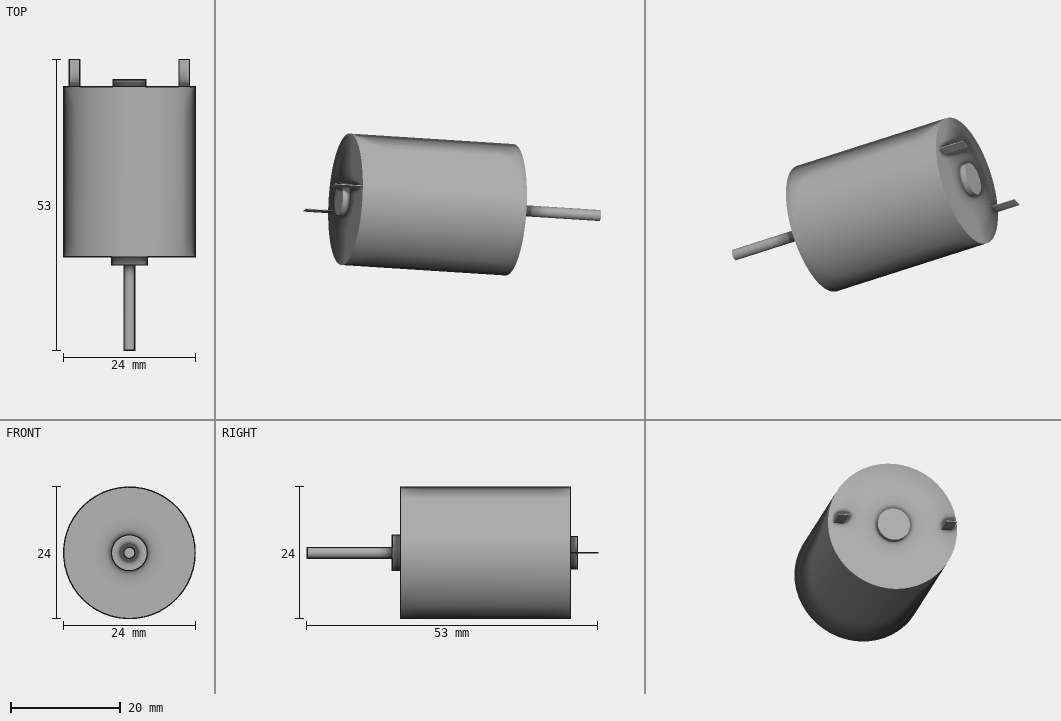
import cadquery as cq


can_diameter = 24.0
can_length = 31.0

front_boss_diameter = 6.5
front_boss_length = 1.5
rear_boss_diameter = 6.0
rear_boss_length = 1.25

shaft_diameter = 2.0
shaft_length = 15.55

terminal_width = 1.95
terminal_thickness = 0.13
terminal_length = 5.0
terminal_offset = 10.0


def cylinder_along_y(diameter, start_y, length):
    """Solid cylinder on the motor axis, running toward +Y from start_y."""
    plane = cq.Plane(origin=(0, start_y, 0), xDir=(1, 0, 0), normal=(0, 1, 0))
    return cq.Workplane(plane).circle(diameter / 2).extrude(length)


def make_terminal(center_x):
    """Flat connector blade standing on the rear face of the can."""
    blade = cq.Workplane("XY").box(
        terminal_width, terminal_length, terminal_thickness, centered=(True, False, True)
    )
    return blade.translate((center_x, can_length, 0))


can = cylinder_along_y(can_diameter, 0, can_length)

front_boss = cylinder_along_y(front_boss_diameter, -front_boss_length, front_boss_length)
rear_boss = cylinder_along_y(rear_boss_diameter, can_length, rear_boss_length)

shaft_tip_y = -front_boss_length - shaft_length
shaft = cylinder_along_y(shaft_diameter, shaft_tip_y, shaft_length)

terminals = [make_terminal(side * terminal_offset) for side in (-1, 1)]

result = cq.Compound.makeCompound(
    [
        can.val(),
        front_boss.val(),
        rear_boss.val(),
        shaft.val(),
        *[terminal.val() for terminal in terminals],
    ]
)